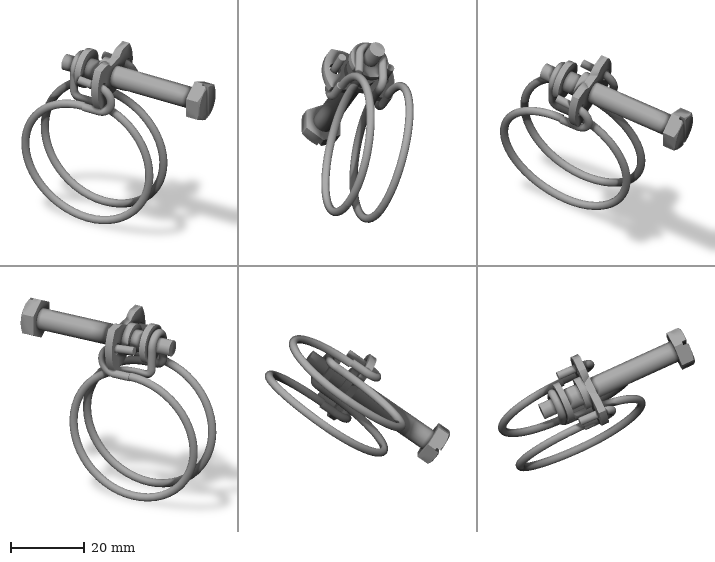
import cadquery as cq
import math

screw_z = 26.4

shank_diameter = 5.95
tip_diameter = 4.45
flange_diameter = 10.95
head_across_flats = 10.0
tip_x = -9.45
flange_x = -3.7
flange_thickness = 1.75
head_x = 30.5
head_end_x = 34.45
head_face_diameter = 9.55
chamfer_angle = 30
slot_width = 1.1
slot_depth = 1.5

plate_x = 3.95
plate_thickness = 2.05
plate_diameter = 20.5
plate_height = 12.3
collar_diameter = 8.95
collar_length = 1.95
wire_hole_diameter = 3.3
notch_half_width = 4.65
notch_front_floor = 1.25
notch_back_floor = 2.55
notch_floor_height = 4.7
notch_shoulder_drop = 0.32

wire_diameter = 2.2
ring_radius = 18.65
ring_bottom_y = 4.7
end_y = 7.05
ring_start_y = 6.65
leg_foot_y = 3.5
bridge_radius = 3.35
hook_x = 4.55
hook_radius = 3.9
tail_x = -1.3
tail_angle = 5
leg_x = -4.85
leg_bend_radius = 2.15


def arc(start, middle, end):
    """Circular edge through three points."""
    return cq.Edge.makeThreePointArc(cq.Vector(*start), cq.Vector(*middle), cq.Vector(*end))


def line(start, end):
    """Straight edge."""
    return cq.Edge.makeLine(cq.Vector(*start), cq.Vector(*end))


def rod(diameter, start_x, end_x):
    """Round bar on the screw axis."""
    plane = cq.Workplane("YZ", origin=(start_x, 0, screw_z))
    return plane.circle(diameter / 2).extrude(end_x - start_x)


def make_head():
    """Hexagonal head with corners up and down, chamfered end corners and a screwdriver slot."""
    corner_diameter = head_across_flats / math.cos(math.radians(30))
    length = head_end_x - head_x
    hexagon = (
        cq.Workplane("YZ", origin=(head_x, 0, screw_z))
        .transformed(rotate=(0, 0, 90))
        .polygon(6, corner_diameter)
        .extrude(length)
    )
    corner_radius = corner_diameter / 2
    face_radius = head_face_diameter / 2
    chamfer_length = (corner_radius - face_radius) * math.tan(math.radians(chamfer_angle))
    chamfer_limit = (
        cq.Workplane("XY")
        .moveTo(head_x, 0)
        .lineTo(head_x, corner_radius)
        .lineTo(head_end_x - chamfer_length, corner_radius)
        .lineTo(head_end_x, face_radius)
        .lineTo(head_end_x, 0)
        .close()
        .revolve(360, (0, 0, 0), (1, 0, 0))
        .translate((0, 0, screw_z))
    )
    slot = cq.Workplane("XY").box(2 * slot_depth, slot_width, 2 * corner_diameter)
    return hexagon.intersect(chamfer_limit).cut(slot.translate((head_end_x, 0, screw_z)))


def make_screw():
    """Thin tip, flange, shank and slotted head in one piece."""
    flange_end_x = flange_x + flange_thickness
    tip = rod(tip_diameter, tip_x, flange_x)
    flange = rod(flange_diameter, flange_x, flange_end_x)
    shank = rod(shank_diameter, flange_end_x, head_x)
    return tip.union(flange).union(shank).union(make_head())


def notch_section(x, floor_half_width):
    """Closed notch outline at x: a flat floor between two convex shoulders."""
    edge_z = screw_z + plate_height / 2
    floor_z = screw_z + notch_floor_height
    shoulder_y = (notch_half_width + floor_half_width) / 2
    shoulder_z = edge_z - (edge_z - floor_z) * notch_shoulder_drop
    right_top = (x, notch_half_width, edge_z)
    right_floor = (x, floor_half_width, floor_z)
    left_floor = (x, -floor_half_width, floor_z)
    left_top = (x, -notch_half_width, edge_z)
    return cq.Wire.assembleEdges(
        [
            arc(right_top, (x, shoulder_y, shoulder_z), right_floor),
            line(right_floor, left_floor),
            arc(left_floor, (x, -shoulder_y, shoulder_z), left_top),
            line(left_top, right_top),
        ]
    )


def make_notch():
    """Saddle cut in the top edge of the plate, with a floor that widens toward +X."""
    front = notch_section(plate_x, notch_front_floor)
    back = notch_section(plate_x + plate_thickness, notch_back_floor)
    return cq.Workplane(cq.Solid.makeLoft([front, back], True))


def make_plate():
    """Flattened disc with a collar, a screw hole, two wire holes and two edge notches."""
    plate_end_x = plate_x + plate_thickness
    flats = cq.Workplane("XY").box(2 * plate_end_x, plate_diameter, plate_height)
    plate = rod(plate_diameter, plate_x, plate_end_x).intersect(flats.translate((0, 0, screw_z)))
    notch = make_notch()
    plate = plate.cut(notch).cut(notch.mirror("XY", (0, 0, screw_z)))
    collar_x = plate_x - collar_length
    plate = plate.union(rod(collar_diameter, collar_x, plate_x))
    plate = plate.cut(rod(shank_diameter, collar_x, plate_end_x))
    wire_hole = rod(wire_hole_diameter, plate_x, plate_end_x)
    for y in (-end_y, end_y):
        plate = plate.cut(wire_hole.translate((0, y, 0)))
    return plate


def sweep_wire(edges):
    """Round wire along consecutive edges."""
    path = cq.Wire.assembleEdges(edges)
    start = cq.Plane(edges[0].startPoint(), normal=edges[0].tangentAt(0))
    section = cq.Workplane(start).circle(wire_diameter / 2)
    return section.sweep(cq.Workplane(path), transition="transformed")


def make_hook():
    """End hook on the +Y side: a slanted tail through the plate, a bend and a straight foot."""
    hook_z = ring_radius + hook_radius
    tilt = math.radians(tail_angle)
    bend_end_x = hook_x + hook_radius * math.sin(tilt)
    bend_end_z = hook_z + hook_radius * math.cos(tilt)
    tail_z = bend_end_z + (bend_end_x - tail_x) * math.tan(tilt)
    foot_end = (0, end_y, ring_radius)
    bend_start = (hook_x, end_y, ring_radius)
    bend_side = (hook_x + hook_radius, end_y, hook_z)
    bend_end = (bend_end_x, end_y, bend_end_z)
    tail_end = (tail_x, end_y, tail_z)
    return sweep_wire(
        [line(foot_end, bend_start), arc(bend_start, bend_side, bend_end), line(bend_end, tail_end)]
    )


def half_ring(side, start, end):
    """Half circle on the right (side = 1) or left (side = -1) between the ring's top and bottom."""
    tilted_radius = math.hypot(ring_radius, (end[1] - start[1]) / 2)
    middle = (side * tilted_radius, (start[1] + end[1]) / 2, 0)
    return arc(start, middle, end)


def make_loop():
    """Ring on the +Y side, followed by the foot, the slightly splayed leg and half of the bridge."""
    bend_x = leg_x + leg_bend_radius
    bend_z = ring_radius + leg_bend_radius
    bend_offset = leg_bend_radius * math.sin(math.radians(45))
    bridge_offset = bridge_radius * math.sin(math.radians(45))
    ring_start = (0, ring_start_y, ring_radius)
    ring_bottom = (0, ring_bottom_y, -ring_radius)
    ring_end = (0, leg_foot_y, ring_radius)
    bend_start = (bend_x, leg_foot_y, ring_radius)
    bend_middle = (bend_x - bend_offset, leg_foot_y, bend_z - bend_offset)
    bend_end = (leg_x, leg_foot_y, bend_z)
    leg_top = (leg_x, bridge_radius, screw_z)
    bridge_middle = (leg_x, bridge_offset, screw_z + bridge_offset)
    bridge_top = (leg_x, 0, screw_z + bridge_radius)
    return sweep_wire(
        [
            half_ring(-1, ring_start, ring_bottom),
            half_ring(1, ring_bottom, ring_end),
            line(ring_end, bend_start),
            arc(bend_start, bend_middle, bend_end),
            line(bend_end, leg_top),
            arc(leg_top, bridge_middle, bridge_top),
        ]
    )


def make_wire():
    """One wire: two mirrored rings with end hooks, joined by a bridge over the screw tip."""
    half = make_loop().union(make_hook())
    return half.union(half.mirror("XZ"))


screw = make_screw()
plate = make_plate()
wire = make_wire()
result = cq.Compound.makeCompound([*screw.solids().vals(), *plate.solids().vals(), *wire.solids().vals()])